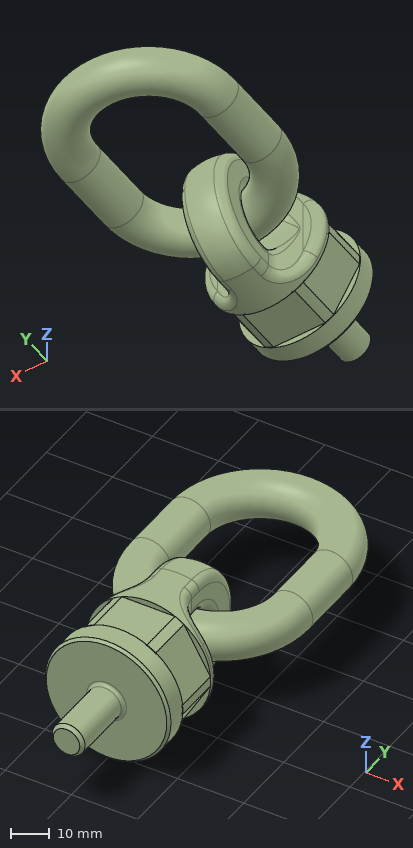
import cadquery as cq
import math


stud_diameter = 10.0
stud_length = 20.0
stud_tip_chamfer = 1.0
stud_root_fillet = 1.0
flange_diameter = 38.0
flange_thickness = 6.8
flange_edge_chamfer = 0.8
hexagon_across_flats = 34.0
hexagon_height = 14.2

eye_diameter = 37.6
eye_thickness = 13.6
eye_hole_diameter = 17.0
eye_edge_fillet = 3.0
foot_height = 3.9
foot_flare_radius = 6.5
eye_base_y = flange_thickness + hexagon_height
foot_top_y = eye_base_y + foot_height
dome_centre_y = 35.1
eye_hole_y = 33.5

wire_diameter = 13.0
link_width = 56.0
link_straight_length = 20.0
link_bottom_y = 28.91
bend_radius = (link_width - wire_diameter) / 2
lower_bend_y = link_bottom_y + link_width / 2
upper_bend_y = lower_bend_y + link_straight_length


def make_bolt():
    flange_radius = flange_diameter / 2
    stud_radius = stud_diameter / 2
    bolt = (
        cq.Workplane("XY")
        .moveTo(0, -stud_length)
        .lineTo(stud_radius - stud_tip_chamfer, -stud_length)
        .lineTo(stud_radius, -stud_length + stud_tip_chamfer)
        .lineTo(stud_radius, -stud_root_fillet)
        .radiusArc((stud_radius + stud_root_fillet, 0), stud_root_fillet)
        .lineTo(flange_radius - flange_edge_chamfer, 0)
        .lineTo(flange_radius, flange_edge_chamfer)
        .lineTo(flange_radius, flange_thickness)
        .lineTo(0, flange_thickness)
        .close()
        .revolve(360, (0, 0, 0), (0, 1, 0))
    )

    across_corners = hexagon_across_flats / math.cos(math.pi / 6)
    hexagon_plane = cq.Workplane("XZ", origin=(0, flange_thickness, 0))
    hexagon = hexagon_plane.polygon(6, across_corners).extrude(-hexagon_height)
    turned_corners = hexagon_plane.circle(eye_diameter / 2).extrude(-hexagon_height)
    return bolt.union(hexagon.intersect(turned_corners))


def make_eye():
    radius = eye_diameter / 2
    half_thickness = eye_thickness / 2

    body = (
        cq.Workplane("XY")
        .moveTo(0, eye_base_y)
        .lineTo(radius, eye_base_y)
        .lineTo(radius, dome_centre_y)
        .radiusArc((0, dome_centre_y + radius), -radius)
        .close()
        .revolve(360, (0, 0, 0), (0, 1, 0))
    )

    flare_end_x = half_thickness + foot_flare_radius
    flare_start_y = foot_top_y + foot_flare_radius
    top_y = dome_centre_y + eye_diameter
    profile = (
        cq.Workplane("XY", origin=(0, 0, -eye_diameter))
        .moveTo(-eye_diameter, eye_base_y)
        .lineTo(eye_diameter, eye_base_y)
        .lineTo(eye_diameter, foot_top_y)
        .lineTo(flare_end_x, foot_top_y)
        .radiusArc((half_thickness, flare_start_y), foot_flare_radius)
        .lineTo(half_thickness, top_y)
        .lineTo(-half_thickness, top_y)
        .lineTo(-half_thickness, flare_start_y)
        .radiusArc((-flare_end_x, foot_top_y), foot_flare_radius)
        .lineTo(-eye_diameter, foot_top_y)
        .close()
        .extrude(2 * eye_diameter)
    )
    eye = body.intersect(profile)

    rim_region = cq.selectors.BoxSelector(
        (-eye_diameter, foot_top_y - eye_edge_fillet / 2, -eye_diameter),
        (eye_diameter, top_y, eye_diameter),
    )
    eye = eye.edges(rim_region).edges("not |Z").fillet(eye_edge_fillet)

    hole_radius = eye_hole_diameter / 2
    hole = (
        cq.Workplane("YZ", origin=(-eye_diameter, eye_hole_y, 0))
        .circle(hole_radius)
        .extrude(2 * eye_diameter)
    )
    eye = eye.cut(hole)

    around_hole = cq.selectors.BoxSelector(
        (-flare_end_x, eye_hole_y - hole_radius, -hole_radius),
        (flare_end_x, eye_hole_y + hole_radius, hole_radius),
    )
    return eye.edges(around_hole).edges("not |X").fillet(eye_edge_fillet)


def make_link():
    section = cq.Workplane("XZ", origin=(bend_radius, lower_bend_y, 0)).circle(wire_diameter / 2)
    path = (
        cq.Workplane("XY")
        .moveTo(bend_radius, lower_bend_y)
        .lineTo(bend_radius, upper_bend_y)
        .threePointArc((0, upper_bend_y + bend_radius), (-bend_radius, upper_bend_y))
        .lineTo(-bend_radius, lower_bend_y)
        .threePointArc((0, lower_bend_y - bend_radius), (bend_radius, lower_bend_y))
        .close()
    )
    return section.sweep(path)


bolt = make_bolt()
link = make_link()

eye = make_eye().cut(link)

result = cq.Compound.makeCompound([bolt.solids().val(), eye.solids().val(), link.val()])